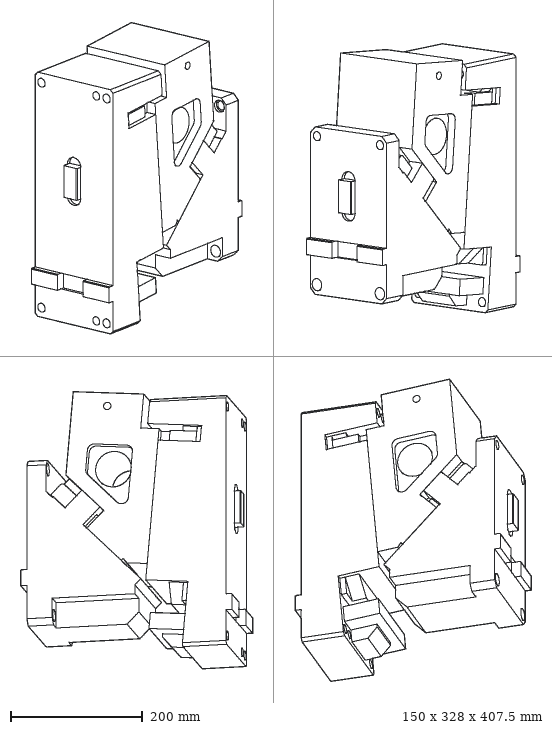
import cadquery as cq
import math

width = 150.0
depth = 328.0
height = 407.5
half_width = width / 2

mount_protrusion = 9.5
mount_recess = 5.7
mount_chamfer = 1.2
key_width = 25.5
key_length = 50.5
bar_height = 25.3
bar_gap = 49.7
slot_length = key_length + key_width
rear_face_y = depth - 2 * mount_protrusion

tilt = math.radians(5)
joint_y = 104.0
block_back = -138.5
block_top = 53.5
joint_z = height + block_back * math.sin(tilt) - block_top * math.cos(tilt)

front_top_z = 390.0
front_corner_chamfer = 5.0
lip_back = -18.5
slot_roof = 7.5
slot_end = 65.5
tongue_height = 18.0
seat_bottom = -237.0
hook_height = 28.0
hook_start = 34.5
lug_start = 9.0
lug_top = -284.5
lug_bottom = -309.8
lug_half_width = 63.5
foot_start = 23.5
foot_side_bottom = -314.5
foot_tip = 40.0
foot_bottom = -330.0
foot_half_width = 32.5
front_key_z = 229.5
front_bar_z = 65.5
hole_edge_distance = 15.5
corner_hole_x = 62.8
corner_hole_radius = 7.0
extra_hole_x = 43.0
extra_hole_radius = 6.5

block_front = -28.5
block_bottom = -211.0
block_bottom_back = -32.0
tongue_neck_length = 15.5
tongue_length = 57.0
tongue_half_width = 67.0
tongue_neck_half_width = 58.5
well_radius = 25.5
well_center = -3.5
well_depth = 2.0
window_back = -108.5
window_front = -38.5
window_top = -27.5
window_land_gap = 23.2
window_depth = 13.5
window_fillet = 10.0
bore_center = (-68.5, -62.5)
bore_radius = 27.7
pin_hole_center = (-83.5, 32.5)
pin_hole_radius = 5.7
pin_hole_depth = 9.0

land_corner_up = -77.0
rail_depth = 37.0
rail_neck_depth = 11.5
rail_half_width = 61.0
rail_neck_half_width = 50.0
rail_fillet = 5.5
upper_rail_length = 35.5
boss_end = 75.0
lower_rail_end = 83.0
block_foot = 159.0
block_foot_step = 4.0

rear_bottom_z = 46.0
rear_top_z = 304.5
rear_corner_chamfer = 9.5
rear_wall_y = 279.0
floor_step_u = 9.8
floor_step = 1.5
ramp_end = 201.8
ramp_nose = 13.0
base_chamfer = 18.5
base_half_width = 46.0
base_top_z = 85.5
base_back_y = 270.0
rear_key_z = 204.5
rear_bar_z = 120.2
rear_hole_radius = 9.5
rear_screw_radius = 7.0
counterbore_depth = 5.0
rear_hole_x = 62.0
rear_upper_hole_edge = 14.0


def tilted(forward, up):
    """(y, z) of a point given along the axes of the tilted joint."""
    y = joint_y - forward * math.cos(tilt) - up * math.sin(tilt)
    z = joint_z - forward * math.sin(tilt) + up * math.cos(tilt)
    return (y, z)


def tilted_at_height(forward, z):
    """(y, z) where the line at a given forward distance reaches height z."""
    up = (z - joint_z + forward * math.sin(tilt)) / math.cos(tilt)
    return tilted(forward, up)


land_corner = tilted(block_back, land_corner_up)


def sloped(along, below):
    """(y, z) of a point given down the 45 degree land and square below it."""
    y = land_corner[0] + (below - along) * math.sqrt(0.5)
    z = land_corner[1] - (below + along) * math.sqrt(0.5)
    return (y, z)


def slab(points, half):
    """Outline in the YZ plane, extruded the same distance to both sides of x = 0."""
    return cq.Workplane("YZ").polyline(points).close().extrude(half, both=True)


def tilted_box(start, end, bottom, top, half):
    corners = [(start, bottom), (end, bottom), (end, top), (start, top)]
    return slab([tilted(*corner) for corner in corners], half)


def sloped_box(start, end, top, bottom, half):
    corners = [(start, top), (end, top), (end, bottom), (start, bottom)]
    return slab([sloped(*corner) for corner in corners], half)


def chamfered_envelope(bottom_z, top_z, chamfer):
    """Block through the whole depth with its four long corners chamfered."""
    return (
        cq.Workplane("XY")
        .box(width, 2 * depth, top_z - bottom_z)
        .translate((0, 0, (top_z + bottom_z) / 2))
        .edges("|Y")
        .chamfer(chamfer)
    )


def cylinder_y(x, z, radius, start_y, end_y):
    axis = cq.Vector(0, 1, 0)
    return cq.Workplane(cq.Solid.makeCylinder(radius, end_y - start_y, cq.Vector(x, start_y, z), axis))


def add_mount(body, key_z, bar_z):
    """Add the centre key and the two bars to a body whose mounting face is y = 0."""
    slot = (
        cq.Workplane("XZ", origin=(0, mount_recess, key_z))
        .slot2D(slot_length, key_width, 90)
        .extrude(mount_recess)
    )
    thickness = mount_protrusion + mount_recess
    center_y = (mount_recess - mount_protrusion) / 2
    key = (
        cq.Workplane("XY")
        .box(key_width, thickness, key_length)
        .translate((0, center_y, key_z))
        .edges("|Z and <Y")
        .chamfer(mount_chamfer)
    )
    bars = (
        cq.Workplane("XY")
        .box(width, thickness, bar_height)
        .translate((0, center_y, bar_z))
        .edges("|X and <Y and >Z")
        .chamfer(mount_chamfer)
    )
    gap = (
        cq.Workplane("XY")
        .box(bar_gap, thickness, bar_height)
        .translate((0, center_y, bar_z))
    )
    return body.cut(slot).union(key).union(bars).cut(gap)


def make_hook(roof):
    """Hook under a tilted roof: a flat-sided strip and a rib with 45 degree sides."""
    strip = tilted_box(tongue_length, slot_end, roof - hook_height, roof, tongue_half_width)
    rib_root = cq.Vector(0, *tilted(tongue_length, roof))
    plane = cq.Plane(rib_root, (1, 0, 0), (0, math.cos(tilt), math.sin(tilt)))
    tip_half_width = tongue_half_width - hook_height
    rib = (
        cq.Workplane(plane)
        .polyline([
            (-tongue_half_width, 0),
            (tongue_half_width, 0),
            (tip_half_width, hook_height),
            (-tip_half_width, hook_height),
        ])
        .close()
        .extrude(tongue_length - hook_start)
    )
    return strip, rib


upper_strip, upper_rib = make_hook(slot_roof)
lower_strip, lower_rib = make_hook(seat_bottom)


def make_front_housing():
    outline = [
        (0, 0),
        (0, front_top_z),
        tilted_at_height(lip_back, front_top_z),
        tilted(lip_back, slot_roof),
        tilted(slot_end, slot_roof),
        tilted(slot_end, -tongue_height),
        tilted(0, -tongue_height),
        tilted(0, seat_bottom),
        tilted(slot_end, seat_bottom),
        tilted_at_height(slot_end, 0),
    ]
    body = slab(outline, half_width)
    body = body.intersect(chamfered_envelope(0, front_top_z, front_corner_chamfer))
    for hook_part in (upper_strip, upper_rib, lower_strip, lower_rib):
        body = body.union(hook_part)

    body = body.union(tilted_box(lug_start, slot_end, lug_bottom, lug_top, lug_half_width))
    foot_points = [
        (slot_end, lug_bottom),
        (foot_start, lug_bottom),
        (foot_start, foot_side_bottom),
        (foot_tip, foot_bottom),
        (slot_end, foot_bottom),
    ]
    body = body.union(slab([tilted(*point) for point in foot_points], foot_half_width))

    holes = [
        (-corner_hole_x, corner_hole_radius),
        (extra_hole_x, extra_hole_radius),
        (corner_hole_x, corner_hole_radius),
    ]
    for z in (hole_edge_distance, front_top_z - hole_edge_distance):
        for x, radius in holes:
            body = body.cut(cylinder_y(x, z, radius, 0, depth / 2))
    return add_mount(body, front_key_z, front_bar_z)


def make_rail(start, end):
    """T-shaped rail under the land: a narrow neck and a wider head."""
    neck = sloped_box(start, end, 0, rail_depth, rail_neck_half_width)
    head = sloped_box(start, end, rail_neck_depth, rail_depth, rail_half_width)
    return neck, head


def make_middle_block():
    outline = [
        tilted(block_back, block_top),
        tilted(block_front, block_top),
        tilted(block_front, 0),
        tilted(0, 0),
        tilted(0, block_bottom),
        tilted(block_bottom_back, block_bottom),
        sloped(block_foot, rail_depth - block_foot_step),
        sloped(block_foot, rail_depth),
        sloped(lower_rail_end, rail_depth),
        sloped(lower_rail_end, 0),
        land_corner,
    ]
    body = slab(outline, half_width)

    neck = tilted_box(0, tongue_neck_length, -tongue_height, 0, tongue_neck_half_width)
    head = tilted_box(tongue_neck_length, tongue_length, -tongue_height, 0, tongue_half_width)
    body = body.union(neck).union(head).cut(upper_rib)

    upper_neck, upper_head = make_rail(0, upper_rail_length)
    shoulder = cq.selectors.NearestToPointSelector((0, *sloped(0, rail_neck_depth)))
    upper_head = upper_head.edges(shoulder).fillet(rail_fillet)
    lower_neck, lower_head = make_rail(boss_end, lower_rail_end)
    for rail_part in (upper_neck, upper_head, lower_neck, lower_head):
        body = body.union(rail_part)

    well_base = cq.Vector(0, *tilted(well_center, -well_depth))
    well_axis = cq.Vector(0, -math.sin(tilt), math.cos(tilt))
    body = body.cut(cq.Workplane(cq.Solid.makeCylinder(well_radius, height, well_base, well_axis)))
    return cut_side_features(body)


def cut_side_features(body):
    """Window pockets and conical pin holes in both sides, and the bore between them."""
    land_top_y, land_top_z = sloped(0, -window_land_gap)
    diagonal_offset = land_top_y - land_top_z

    def diagonal_point(forward):
        y, z = tilted(forward, 0)
        excess = z - y + diagonal_offset
        return tilted(forward, -excess / (math.cos(tilt) + math.sin(tilt)))

    window = [
        tilted(window_back, window_top),
        tilted(window_front, window_top),
        diagonal_point(window_front),
        diagonal_point(window_back),
    ]
    for side in (-1, 1):
        pocket = (
            cq.Workplane("YZ", origin=(side * half_width, 0, 0))
            .polyline(window)
            .close()
            .extrude(-side * window_depth)
            .edges("|X")
            .fillet(window_fillet)
        )
        pin_point = cq.Vector(side * half_width, *tilted(*pin_hole_center))
        inward = cq.Vector(-side, 0, 0)
        pin_hole = cq.Workplane(cq.Solid.makeCone(pin_hole_radius, 0, pin_hole_depth, pin_point, inward))
        body = body.cut(pocket).cut(pin_hole)
    bore = (
        cq.Workplane("YZ")
        .center(*tilted(*bore_center))
        .circle(bore_radius)
        .extrude(half_width, both=True)
    )
    return body.cut(bore)


def make_rear_housing():
    wall_depth = rail_depth + floor_step
    wall_along = wall_depth - (rear_wall_y - land_corner[0]) / math.sqrt(0.5)
    nose = sloped(ramp_end, rail_depth + ramp_nose)
    base_front_y = nose[0]
    outline = [
        (rear_face_y, rear_bottom_z),
        (rear_face_y, rear_top_z),
        (rear_wall_y, rear_top_z),
        sloped(wall_along, wall_depth),
        sloped(floor_step_u, wall_depth),
        sloped(floor_step_u, rail_depth),
        sloped(upper_rail_length, rail_depth),
        sloped(upper_rail_length, 0),
        sloped(boss_end, 0),
        sloped(boss_end, rail_depth),
        sloped(ramp_end, rail_depth),
        nose,
        (base_front_y, rear_bottom_z + base_chamfer),
        (base_front_y + base_chamfer, rear_bottom_z),
    ]
    body = slab(outline, half_width)
    body = body.intersect(chamfered_envelope(rear_bottom_z, rear_top_z, rear_corner_chamfer))

    for side in (-1, 1):
        relief = cq.Workplane("XY").box(
            half_width - base_half_width, base_back_y, base_top_z, centered=(True, False, False)
        )
        body = body.cut(relief.translate((side * (half_width + base_half_width) / 2, 0, 0)))

        hole_x = side * rear_hole_x
        low_z = rear_bottom_z + hole_edge_distance
        high_z = rear_top_z - rear_upper_hole_edge
        body = body.cut(cylinder_y(hole_x, low_z, rear_hole_radius, base_back_y, rear_face_y))
        body = body.cut(cylinder_y(hole_x, high_z, rear_screw_radius, rear_wall_y, rear_face_y))
        bore_bottom_y = rear_wall_y + counterbore_depth
        body = body.cut(cylinder_y(hole_x, high_z, rear_hole_radius, rear_wall_y, bore_bottom_y))

    turned = body.mirror("XZ").translate((0, rear_face_y, 0))
    mounted = add_mount(turned, rear_key_z, rear_bar_z)
    return mounted.translate((0, -rear_face_y, 0)).mirror("XZ")


front_housing = make_front_housing()
middle_block = make_middle_block()
rear_housing = make_rear_housing()

result = cq.Compound.makeCompound([
    front_housing.solids().val(),
    middle_block.solids().val(),
    rear_housing.solids().val(),
])